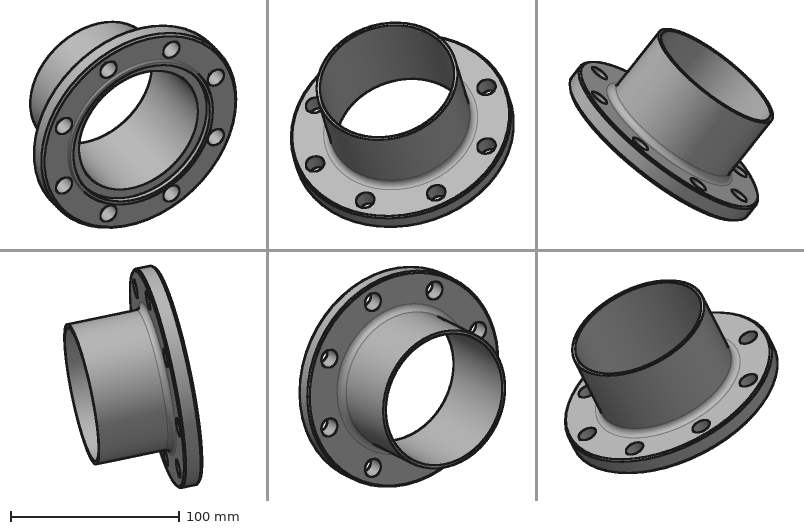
import cadquery as cq

total_length = 59.5
raised_face_height = 2.0
flange_thickness = 11.5

flange_diameter = 133.0
pipe_diameter = 85.0
bore_diameter = 81.0
raised_face_diameter = 97.6

recess_depth = 3.7

neck_fillet = 4.0
front_rim_chamfer = 1.0
back_rim_chamfer = 1.5
raised_face_rounding = 0.4

hole_count = 8
hole_diameter = 11.0
bolt_circle_diameter = 112.0

recess_diameter = pipe_diameter + 2 * neck_fillet
flange_end = total_length - raised_face_height
flange_start = flange_end - flange_thickness


def disc(diameter, start, end):
    """Solid cylinder along X between two axial positions."""
    return cq.Workplane("YZ", origin=(start, 0, 0)).circle(diameter / 2).extrude(end - start)


def round_inner_corner(solid, position, radius):
    """Fillet the smallest circular edge lying at an axial position."""
    margin = 0.1
    reach = flange_diameter
    slab = cq.selectors.BoxSelector(
        (position - margin, -reach, -reach),
        (position + margin, reach, reach),
    )
    return solid.edges(slab).edges(cq.selectors.RadiusNthSelector(0)).fillet(radius)


flange = disc(flange_diameter, flange_start, flange_end)
flange = flange.faces("<X").chamfer(front_rim_chamfer)
flange = flange.faces(">X").chamfer(back_rim_chamfer)
pipe = disc(pipe_diameter, 0, flange_end)
body = flange.union(pipe)
body = round_inner_corner(body, flange_start, neck_fillet)

raised_face = disc(raised_face_diameter, flange_end, total_length)
raised_face = raised_face.faces(">X").edges().fillet(raised_face_rounding)
body = body.union(raised_face)
body = round_inner_corner(body, flange_end, raised_face_rounding)

body = body.cut(disc(bore_diameter, 0, total_length))
body = body.cut(disc(recess_diameter, total_length - recess_depth, total_length))

bolt_holes = (
    cq.Workplane("YZ", origin=(flange_start, 0, 0))
    .polarArray(bolt_circle_diameter / 2, 180 / hole_count, 360, hole_count)
    .circle(hole_diameter / 2)
    .extrude(flange_thickness)
)
result = body.cut(bolt_holes)